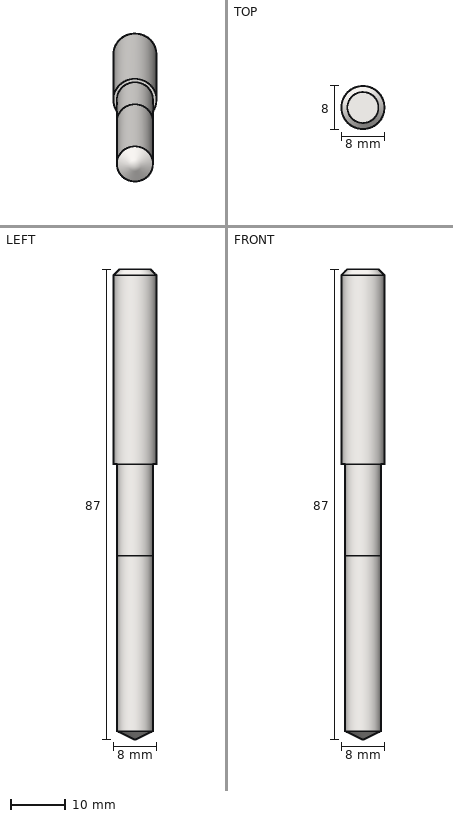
import cadquery as cq

total_length = 87.0
shank_diameter = 8.0
shank_length = 36.0
shank_chamfer = 1.1

cutter_diameter = 6.7
cutter_length = 34.0
point_height = 1.65

cutter_radius = cutter_diameter / 2
shank_radius = shank_diameter / 2
shank_end_radius = shank_radius - shank_chamfer
shank_bottom = total_length - shank_length
chamfer_bottom = total_length - shank_chamfer


def make_shank():
    """Shank with a narrower neck that reaches down to the cutter."""
    profile = (
        cq.Workplane("XZ")
        .moveTo(0, cutter_length)
        .lineTo(cutter_radius, cutter_length)
        .lineTo(cutter_radius, shank_bottom)
        .lineTo(shank_radius, shank_bottom)
        .lineTo(shank_radius, chamfer_bottom)
        .lineTo(shank_end_radius, total_length)
        .lineTo(0, total_length)
        .close()
    )
    return profile.revolve(360, (0, 0), (0, 1))


def make_cutter():
    """Cylindrical cutter with a conical drill point."""
    profile = (
        cq.Workplane("XZ")
        .lineTo(cutter_radius, point_height)
        .lineTo(cutter_radius, cutter_length)
        .lineTo(0, cutter_length)
        .close()
    )
    return profile.revolve(360, (0, 0), (0, 1))


shank = make_shank()
cutter = make_cutter()
result = cq.Compound.makeCompound([shank.val(), cutter.val()])